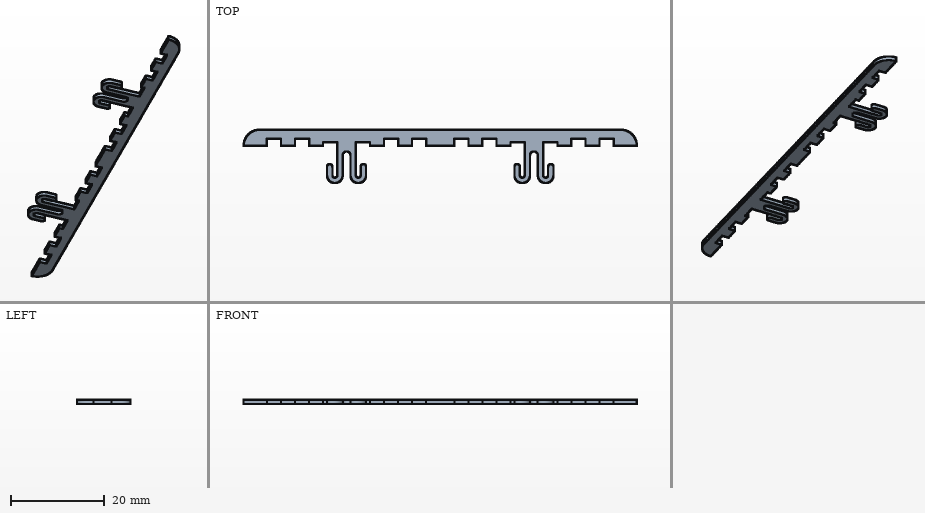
import cadquery as cq

length = 84.0
thickness = 1.0
bar_height = 3.5
corner_radius = 3.5

clip_offset = 20.0
clip_drop = 7.95

notch_width = 3.0
notch_depth = 1.5
notch_starts = (8.0, 14.0)
relief_half_width = 5.0
relief_depth = 0.75

slot_half_width = 0.8
slot_top = -1.2
wall = 1.2
hook_gap = 1.0
hook_tip_drop = 3.85

leg_outer = slot_half_width + wall
hook_inner = leg_outer + hook_gap
hook_outer = hook_inner + wall

bend_radius = (hook_outer - slot_half_width) / 2
bend_center_y = bend_radius - clip_drop
gap_radius = hook_gap / 2
tip_radius = wall / 2
tip_center_y = -hook_tip_drop - tip_radius


def block(x_min, x_max, y_min, y_max):
    """Plate of full thickness between the given X and Y limits."""
    return (
        cq.Workplane("XY")
        .moveTo((x_min + x_max) / 2, (y_min + y_max) / 2)
        .rect(x_max - x_min, y_max - y_min)
        .extrude(thickness)
    )


def make_bar():
    """Plain bar with both upper corners rounded."""
    half = length / 2
    return (
        cq.Workplane("XY")
        .moveTo(-half, 0)
        .radiusArc((-half + corner_radius, bar_height), corner_radius)
        .lineTo(half - corner_radius, bar_height)
        .radiusArc((half, 0), corner_radius)
        .close()
        .extrude(thickness)
    )


def cut_notches(bar, center_x):
    """Cut the shallow relief and the deeper notches on both sides of one clip."""
    bar = bar.cut(block(center_x - relief_half_width, center_x + relief_half_width, 0, relief_depth))
    for start in notch_starts:
        end = start + notch_width
        bar = bar.cut(block(center_x + start, center_x + end, 0, notch_depth))
        bar = bar.cut(block(center_x - end, center_x - start, 0, notch_depth))
    return bar


def make_clip(center_x):
    """Clip drawn as one closed outline, with its root reaching up to the relief."""
    slot_spring_y = slot_top - slot_half_width
    return (
        cq.Workplane("XY", origin=(center_x, 0, 0))
        .moveTo(-leg_outer, relief_depth)
        .lineTo(leg_outer, relief_depth)
        .lineTo(leg_outer, bend_center_y)
        .threePointArc((leg_outer + gap_radius, bend_center_y - gap_radius), (hook_inner, bend_center_y))
        .lineTo(hook_inner, tip_center_y)
        .threePointArc((hook_inner + tip_radius, -hook_tip_drop), (hook_outer, tip_center_y))
        .lineTo(hook_outer, bend_center_y)
        .threePointArc((hook_outer - bend_radius, -clip_drop), (slot_half_width, bend_center_y))
        .lineTo(slot_half_width, slot_spring_y)
        .threePointArc((0, slot_top), (-slot_half_width, slot_spring_y))
        .lineTo(-slot_half_width, bend_center_y)
        .threePointArc((bend_radius - hook_outer, -clip_drop), (-hook_outer, bend_center_y))
        .lineTo(-hook_outer, tip_center_y)
        .threePointArc((-hook_inner - tip_radius, -hook_tip_drop), (-hook_inner, tip_center_y))
        .lineTo(-hook_inner, bend_center_y)
        .threePointArc((-leg_outer - gap_radius, bend_center_y - gap_radius), (-leg_outer, bend_center_y))
        .close()
        .extrude(thickness)
    )


result = make_bar()
for clip_x in (-clip_offset, clip_offset):
    result = cut_notches(result, clip_x).union(make_clip(clip_x))